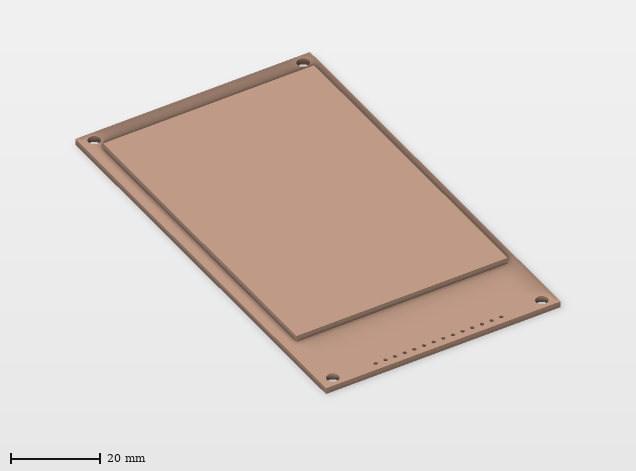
import cadquery as cq

board_length = 108.0
board_width = 61.7
board_thickness = 1.6

panel_length = 83.4
panel_width = 55.5
panel_thickness = 1.6
panel_center_x = -5.8
panel_center_y = 0.2

mount_diameter = 3.0
mount_spacing_x = 102.9
mount_spacing_y = 55.0

pin_count = 14
pin_diameter = 1.0
pin_pitch = 2.54
pin_edge_distance = 2.0
pin_row_x = board_length / 2 - pin_edge_distance

board = cq.Workplane("XY").box(
    board_length, board_width, board_thickness, centered=(True, True, False)
)

panel = (
    cq.Workplane("XY", origin=(panel_center_x, panel_center_y, board_thickness))
    .box(panel_length, panel_width, panel_thickness, centered=(True, True, False))
)

mount_holes = (
    cq.Workplane("XY")
    .rect(mount_spacing_x, mount_spacing_y, forConstruction=True)
    .vertices()
    .circle(mount_diameter / 2)
    .extrude(board_thickness)
)

pin_holes = (
    cq.Workplane("XY", origin=(pin_row_x, 0, 0))
    .rarray(1.1, pin_pitch, 1, pin_count)
    .circle(pin_diameter / 2)
    .extrude(board_thickness)
)

result = board.cut(mount_holes).cut(pin_holes).union(panel)